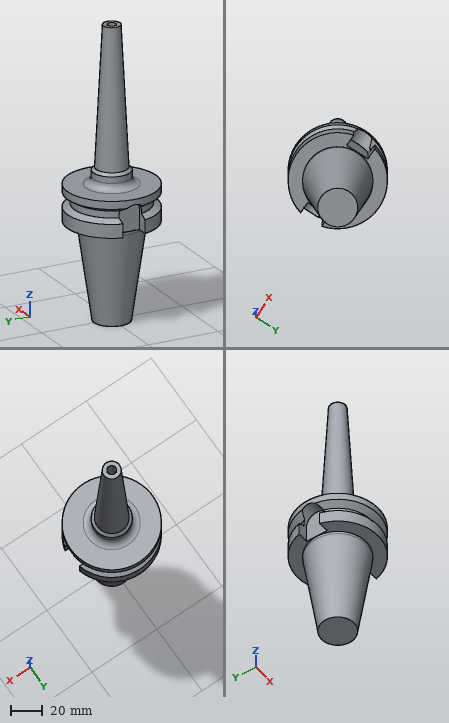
import cadquery as cq

total_length = 200.5
gauge_z = 65.3
flange_bottom_z = 67.3
groove_ramp_bottom_z = 76.8
groove_bottom_z = 79.2
groove_top_z = 84.0
rim_bottom_z = 87.0
flange_top_z = 92.4
collar_top_z = 103.8

taper_small_radius = 12.6
gauge_radius = 22.2
flange_radius = 31.5
groove_radius = 26.5
collar_radius = 13.0
collar_fillet = 5.0
collar_chamfer = 2.0
nose_tip_radius = 6.0
nose_base_radius = collar_radius - collar_chamfer

bore_diameter = 6.0
bore_depth = 30.0

slot_width = 16.0
slot_top_z = 88.8
slot_floor_distance = 22.5


def turned_body():
    """Taper, grooved flange, filleted collar and slender conical nose."""
    fillet_start = (collar_radius + collar_fillet, flange_top_z)
    fillet_end = (collar_radius, flange_top_z + collar_fillet)
    return (
        cq.Workplane("XZ")
        .lineTo(taper_small_radius, 0)
        .lineTo(gauge_radius, gauge_z)
        .lineTo(gauge_radius, flange_bottom_z)
        .lineTo(flange_radius, flange_bottom_z)
        .lineTo(flange_radius, groove_ramp_bottom_z)
        .lineTo(groove_radius, groove_bottom_z)
        .lineTo(groove_radius, groove_top_z)
        .lineTo(flange_radius, rim_bottom_z)
        .lineTo(flange_radius, flange_top_z)
        .lineTo(*fillet_start)
        .radiusArc(fillet_end, collar_fillet)
        .lineTo(collar_radius, collar_top_z - collar_chamfer)
        .lineTo(nose_base_radius, collar_top_z)
        .lineTo(nose_tip_radius, total_length)
        .lineTo(0, total_length)
        .close()
        .revolve(360, (0, 0), (0, 1))
    )


def drive_slot(side):
    """Round-topped slot cutter, open at the flange underside; side is -1 or +1."""
    half_width = slot_width / 2
    arc_center_z = slot_top_z - half_width
    return (
        cq.Workplane("YZ", origin=(side * slot_floor_distance, 0, 0))
        .moveTo(-half_width, flange_bottom_z)
        .lineTo(half_width, flange_bottom_z)
        .lineTo(half_width, arc_center_z)
        .threePointArc((0, slot_top_z), (-half_width, arc_center_z))
        .close()
        .extrude(side * flange_radius)
    )


body = turned_body()
for side in (-1, 1):
    body = body.cut(drive_slot(side))

result = body.faces(">Z").workplane().hole(bore_diameter, bore_depth)